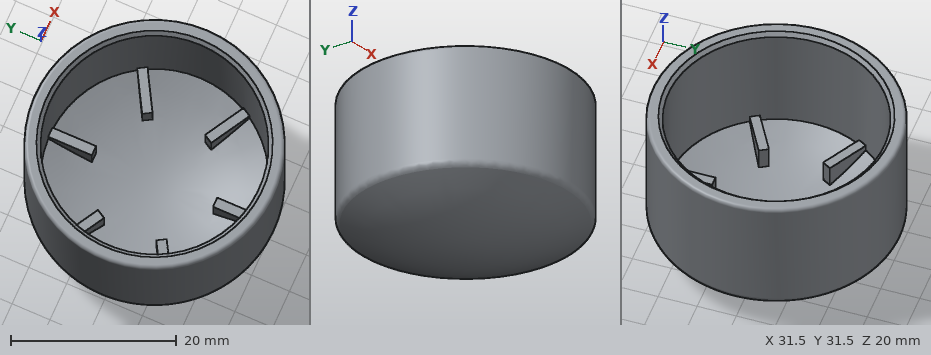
import cadquery as cq

outer_radius = 15.75
wall = 2.0
total_height = 20.0
dome_radius = 33.0
rim_edge = 0.5
base_fillet = 1.0

rib_count = 6
first_rib_angle = 30
rib_width = 1.25
rib_inner_radius = 8.0
rib_rise = 0.8

inner_radius = outer_radius - wall
floor_dome_radius = dome_radius - wall


def height_on_dome(sphere_radius, radius):
    """Height of a dome, centred on the common dome centre, at a distance from the axis."""
    return dome_radius - (sphere_radius**2 - radius**2) ** 0.5


def domed_cylinder(radius, sphere_radius):
    """Solid cylinder up to the rim height with a spherical lower end."""
    return (
        cq.Workplane("XZ")
        .moveTo(0, height_on_dome(sphere_radius, 0))
        .threePointArc(
            (radius / 2, height_on_dome(sphere_radius, radius / 2)),
            (radius, height_on_dome(sphere_radius, radius)),
        )
        .lineTo(radius, total_height)
        .lineTo(0, total_height)
        .close()
        .revolve(360, (0, 0, 0), (0, 1, 0))
    )


def make_cup():
    """Cup with a wall of even thickness, rounded outside and chamfered inside the rim."""
    body = domed_cylinder(outer_radius, dome_radius)
    body = body.faces("<Z").edges(">Z").fillet(base_fillet)
    body = body.edges(">Z").fillet(rim_edge)
    body = body.cut(domed_cylinder(inner_radius, floor_dome_radius))
    rim_chamfer = (
        cq.Workplane("XY", origin=(0, 0, total_height - rim_edge))
        .circle(inner_radius)
        .workplane(offset=rim_edge)
        .circle(inner_radius + rim_edge)
        .loft(ruled=True)
    )
    return body.cut(rim_chamfer)


def make_ribs():
    """Flat-topped radial ribs standing on the floor and joined to the wall."""
    rib_top = height_on_dome(floor_dome_radius, inner_radius) + rib_rise
    embedded_radius = inner_radius + wall / 2
    rib_length = embedded_radius - rib_inner_radius
    blank = (
        cq.Workplane("XY")
        .polarArray(rib_inner_radius + rib_length / 2, first_rib_angle, 360, rib_count)
        .rect(rib_length, rib_width)
        .extrude(rib_top)
    )
    return blank.intersect(domed_cylinder(embedded_radius, dome_radius - wall / 2))


result = make_cup().union(make_ribs())